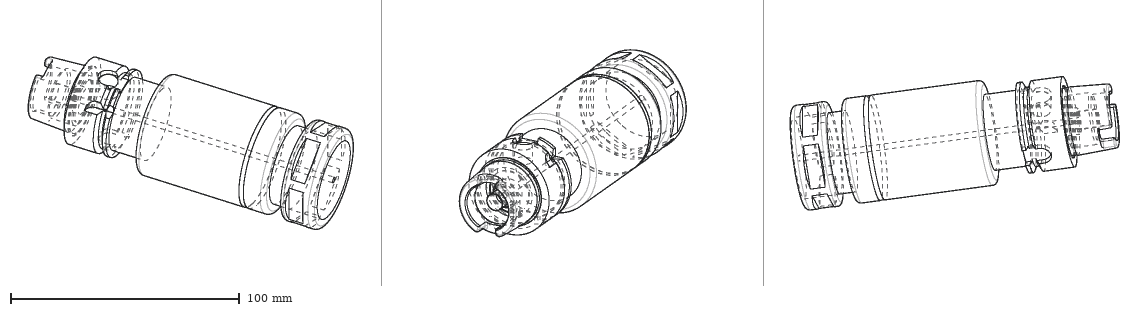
import cadquery as cq
import math

LENGTH = 140.0
FLANGE_START = 20.0
FLANGE_END = 40.0
BARREL_START = 55.0
BARREL_END = 117.2
NUT_START = 124.2

BARREL_R = 46.3 / 2
FLANGE_R = 40.0 / 2
FRONT_NECK_R = 33.6 / 2
REAR_NECK_R = 36.0 / 2
TAPER_TIP_R = 28.3 / 2
TAPER_BASE_R = 30.2 / 2

TIP_ROUND = 0.8
RELIEF_START = 17.9
RELIEF_CONE = 0.7
RELIEF_DEPTH = 0.21
FACE_RECESS_R = 16.0
FACE_RECESS_DEPTH = 0.4

DRIVE_SLOT_HALF_WIDTH = 3.9
UPPER_DRIVE_DEPTH = 3.6
LOWER_DRIVE_DEPTH = 6.3
DRIVE_FLOOR_ROUND = 0.8
DRIVE_CORNER_ROUND = 1.7

MOUTH_R = 21.8 / 2
BORE_R = 21.0 / 2
MOUTH_CHAMFER_LENGTH = 1.0
BORE_SHOULDER = 8.3
CHAMBER_R = 23.0 / 2
BORE_FLOOR = 20.0
FLOOR_RECESS_R = 19.6 / 2
FLOOR_RECESS_DEPTH = 0.7
COLLAR_R = 12.0 / 2
COLLAR_FRONT = 15.4
COLLAR_CHAMFER = 0.8
TUBE_R = 8.0 / 2
TUBE_FRONT = 7.0
TUBE_BORE_R = 7.5 / 2
TUBE_BORE_FLOOR = 16.8
CONE_TIP_R = 5.0 / 2
COOLANT_HOLE_R = 2.5 / 2

GROOVE_CENTER = 36.1
GROOVE_FLOOR_WIDTH = 1.7
GROOVE_MOUTH_WIDTH = 4.3
GROOVE_FLOOR_R = 35.0 / 2
KEY_SLOT_WIDTH = 9.0
KEY_SLOT_CENTER = 32.3
KEY_SLOT_FLOOR = 17.2
KEY_HOLE_R = 8.5 / 2
KEY_HOLE_DEPTH = 7.0
NOTCH_WALL = 12.0

BARREL_ROUND = 2.1
BAND_START = 104.9
BAND_WIDTH = 2.1
BAND_R = 46.0 / 2

NUT_FRONT_ROUND = 1.8
NUT_REAR_ROUND = 2.2
FLAT_COUNT = 6
FLAT_DISTANCE = 21.0
FLAT_CENTER = 131.2
FLAT_WIDTH = 6.6
FLAT_MOUTH_WIDTH = 8.3


def cylinder_x(radius, start, end):
    """Cylinder on the X axis between two X positions."""
    return cq.Workplane("YZ", origin=(start, 0, 0)).circle(radius).extrude(end - start)


def revolve_x(points):
    """Solid of revolution about the X axis from (x, radius) points."""
    return cq.Workplane("XY").polyline(points).close().revolve(360, (0, 0, 0), (1, 0, 0))


def make_taper():
    """Taper with a shallow relief at its root and a plain pilot hole."""
    relief_r = TAPER_BASE_R - RELIEF_DEPTH
    root = FLANGE_START + FACE_RECESS_DEPTH
    taper = revolve_x([
        (0, 0),
        (0, TAPER_TIP_R),
        (RELIEF_START, TAPER_BASE_R),
        (RELIEF_START + RELIEF_CONE, relief_r),
        (root, relief_r),
        (root, 0),
    ])
    return taper.cut(cylinder_x(FLOOR_RECESS_R, 0, RELIEF_START))


def make_drive_slot(side, depth):
    """Drive slot cutter on the +Z (side 1) or -Z (side -1) half of the tip."""
    return (
        cq.Workplane("XY")
        .box(2 * depth, 2 * DRIVE_SLOT_HALF_WIDTH, TAPER_BASE_R)
        .translate((0, 0, side * TAPER_BASE_R))
    )


def is_slot_wall_edge(edge):
    """True for an edge that lies midway on a drive slot side wall."""
    return math.isclose(abs(edge.Center().y), DRIVE_SLOT_HALF_WIDTH, abs_tol=0.001)


def make_shank():
    """Taper shank with two drive slots, rounded at corners, floors and tip."""
    shank = make_taper()
    shank = shank.cut(make_drive_slot(1, UPPER_DRIVE_DEPTH))
    shank = shank.cut(make_drive_slot(-1, LOWER_DRIVE_DEPTH))

    outer_edges = [
        edge for edge in shank.edges("not(|X or |Y or |Z)").vals()
        if is_slot_wall_edge(edge)
    ]
    shank = shank.newObject(outer_edges).fillet(DRIVE_CORNER_ROUND)

    floor_edges = [
        edge for edge in shank.edges("|Z").vals()
        if is_slot_wall_edge(edge) and edge.Center().x > 0.5 * UPPER_DRIVE_DEPTH
    ]
    shank = shank.newObject(floor_edges).fillet(DRIVE_FLOOR_ROUND)

    return shank.faces("<X").edges("|Z").fillet(TIP_ROUND)


def make_bore():
    """Stepped space inside the shank, widening behind the clamping shoulder."""
    chamber_start = BORE_SHOULDER + (CHAMBER_R - BORE_R)
    return revolve_x([
        (0, 0),
        (0, MOUTH_R),
        (MOUTH_CHAMFER_LENGTH, BORE_R),
        (BORE_SHOULDER, BORE_R),
        (chamber_start, CHAMBER_R),
        (BORE_FLOOR, CHAMBER_R),
        (BORE_FLOOR, FLOOR_RECESS_R),
        (BORE_FLOOR + FLOOR_RECESS_DEPTH, FLOOR_RECESS_R),
        (BORE_FLOOR + FLOOR_RECESS_DEPTH, 0),
    ])


def make_coolant_tube():
    """Coolant tube standing on the bore floor, with a chamfered collar."""
    floor = BORE_FLOOR + FLOOR_RECESS_DEPTH
    return revolve_x([
        (TUBE_FRONT, 0),
        (TUBE_FRONT, TUBE_R),
        (COLLAR_FRONT, TUBE_R),
        (COLLAR_FRONT, COLLAR_R - COLLAR_CHAMFER),
        (COLLAR_FRONT + COLLAR_CHAMFER, COLLAR_R),
        (floor, COLLAR_R),
        (floor, 0),
    ])


def make_tube_bore():
    """Bore of the coolant tube, leaving a blunt cone on its floor."""
    cone_height = TUBE_BORE_R - CONE_TIP_R
    return revolve_x([
        (TUBE_FRONT, 0),
        (TUBE_FRONT, TUBE_BORE_R),
        (TUBE_BORE_FLOOR, TUBE_BORE_R),
        (TUBE_BORE_FLOOR - cone_height, CONE_TIP_R),
        (TUBE_BORE_FLOOR - cone_height, 0),
    ])


def make_flange():
    """Flange with its face recess, gripper groove, key slots and corner notch."""
    flange = cylinder_x(FLANGE_R, FLANGE_START, FLANGE_END)
    flange = flange.cut(cylinder_x(FACE_RECESS_R, FLANGE_START, FLANGE_START + FACE_RECESS_DEPTH))
    flange = flange.cut(make_gripper_groove())
    for side in (1, -1):
        flange = flange.cut(make_round_ended_slot(0, side * KEY_SLOT_FLOOR, side * FLANGE_R))
    notch_center = -NOTCH_WALL - KEY_SLOT_WIDTH / 2
    flange = flange.cut(make_round_ended_slot(notch_center, NOTCH_WALL, FLANGE_R))
    hole = (
        cq.Workplane("XY", origin=(KEY_SLOT_CENTER, 0, KEY_SLOT_FLOOR - KEY_HOLE_DEPTH))
        .circle(KEY_HOLE_R).extrude(KEY_HOLE_DEPTH)
    )
    return flange.cut(hole)


def make_gripper_groove():
    """V-shaped ring cutter with a flat floor."""
    half_floor = GROOVE_FLOOR_WIDTH / 2
    half_mouth = GROOVE_MOUTH_WIDTH / 2
    return revolve_x([
        (GROOVE_CENTER - half_floor, GROOVE_FLOOR_R),
        (GROOVE_CENTER - half_mouth, FLANGE_R),
        (GROOVE_CENTER + half_mouth, FLANGE_R),
        (GROOVE_CENTER + half_floor, GROOVE_FLOOR_R),
    ])


def make_round_ended_slot(center_y, floor_z, outer_z):
    """Slot cutter along X, round at its -X end and open at the flange rear face."""
    base = cq.Workplane("XY", origin=(KEY_SLOT_CENTER, center_y, floor_z))
    height = outer_z - floor_z
    run = FLANGE_END - KEY_SLOT_CENTER
    straight = base.center(run / 2, 0).rect(run, KEY_SLOT_WIDTH).extrude(height)
    return base.circle(KEY_SLOT_WIDTH / 2).extrude(height).union(straight)


def make_barrel():
    """Large cylinder with rounded ends and a shallow band."""
    barrel = cylinder_x(BARREL_R, BARREL_START, BARREL_END).edges().fillet(BARREL_ROUND)
    band_end = BAND_START + BAND_WIDTH
    band = cylinder_x(BARREL_R, BAND_START, band_end).cut(cylinder_x(BAND_R, BAND_START, band_end))
    return barrel.cut(band)


def make_holder():
    """Tool holder: shank, flange, barrel and the neck that carries the nut."""
    holder = (
        make_shank()
        .union(make_flange())
        .union(cylinder_x(FRONT_NECK_R, FLANGE_END, BARREL_START))
        .union(make_barrel())
        .union(cylinder_x(REAR_NECK_R, BARREL_END, LENGTH))
        .cut(make_bore())
        .union(make_coolant_tube())
        .cut(make_tube_bore())
    )
    return holder.cut(cylinder_x(COOLANT_HOLE_R, 0, LENGTH))


def make_flat_cutter():
    """Wrench-flat cutter on +Y: flat floor with outward-sloping side walls."""
    half_floor = FLAT_WIDTH / 2
    half_mouth = FLAT_MOUTH_WIDTH / 2
    return (
        cq.Workplane("XY")
        .polyline([
            (FLAT_CENTER - half_floor, FLAT_DISTANCE),
            (FLAT_CENTER - half_mouth, BARREL_R),
            (FLAT_CENTER + half_mouth, BARREL_R),
            (FLAT_CENTER + half_floor, FLAT_DISTANCE),
        ])
        .close()
        .extrude(BARREL_R, both=True)
    )


def make_nut():
    """Clamping nut with six wrench flats, seated on the rear neck."""
    nut = cylinder_x(BARREL_R, NUT_START, LENGTH)
    nut = nut.faces("<X").edges().fillet(NUT_FRONT_ROUND)
    nut = nut.faces(">X").edges().fillet(NUT_REAR_ROUND)
    for index in range(FLAT_COUNT):
        angle = index * 360 / FLAT_COUNT
        nut = nut.cut(make_flat_cutter().rotate((0, 0, 0), (1, 0, 0), angle))
    return nut.cut(cylinder_x(REAR_NECK_R, NUT_START, LENGTH))


holder = make_holder()
nut = make_nut()
result = cq.Compound.makeCompound([holder.val(), nut.val()])